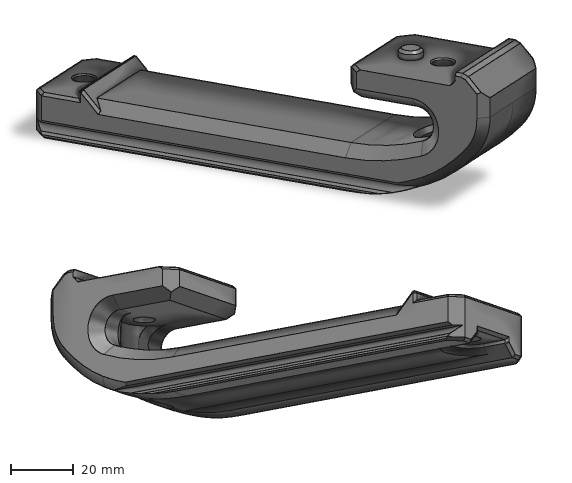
import cadquery as cq
import math

width = 38.0
length = 163.5
height = 46.5
half_width = width / 2

inner_chamfer = 4.0
outer_chamfer = 3.1
corner_chamfer = 4.0
edge_break = 1.0
hole_break = 0.5

bar_top = 15.2
bend_start = 113.1
outer_bend_radius = 68.3
outer_bend_angle = math.radians(25.2)
nose_middle = (155.8, 16.2)
nose_end_z = 32.4
throat_radius = 5.9
throat_x = 136.8

arm_bottom = 31.4
arm_top = 41.9
arm_lip_x = 152.5
arm_lip_flat = 2.3
arm_lip_facet = (2.0, 0.8)
lip_root_bevel = 2.0

landing_lip_x = 16.8
landing_lip_top = 18.5
landing_lip_flat = 1.6

groove_top = 4.9
groove_depth = 3.3
foot_edge_break = 0.5
foot_tip_low = 1.1

landing_slope_x = landing_lip_x + landing_lip_flat
landing_floor = groove_top + edge_break

channel_half_width = 11.5
channel_depth = 2.0
head_diameter = 15.0
head_slot_depth = 5.0
head_bevel = 2.0

screw_diameter = 7.0
landing_hole_x = 9.3
arm_hole_x = 138.3
pin_diameter = 8.0
pin_height = 3.0
pin_x = 126.7

overshoot = 1.6


def across(sketch):
    """Extrude an XZ outline over the full width, centred on Y."""
    return sketch.extrude(half_width, both=True)


def hook_outline():
    """J-shaped side outline of bar, hook and arm, without the free-end details."""
    throat_z = arm_bottom - throat_radius
    run = throat_x - bend_start
    rise = throat_z - bar_top
    inner_radius = (run**2 + rise**2 - throat_radius**2) / (2 * (rise - throat_radius))
    meet = math.atan2(run, inner_radius - rise)

    def on_circle(x, z, radius, angle):
        """Point on a circle, with the angle counted from straight down toward +X."""
        return (x + radius * math.sin(angle), z - radius * math.cos(angle))

    outer_centre = (bend_start, outer_bend_radius)
    inner_centre = (bend_start, bar_top + inner_radius)
    throat_centre = (throat_x, throat_z)
    slope_corner = arm_lip_x + arm_lip_flat
    slope_start = (slope_corner + arm_lip_facet[0], height - arm_lip_facet[1])
    return (
        cq.Workplane("XZ")
        .moveTo(0, 0)
        .lineTo(bend_start, 0)
        .threePointArc(
            on_circle(*outer_centre, outer_bend_radius, outer_bend_angle / 2),
            on_circle(*outer_centre, outer_bend_radius, outer_bend_angle),
        )
        .spline(
            [nose_middle, (length, nose_end_z)],
            tangents=[(math.cos(outer_bend_angle), math.sin(outer_bend_angle)), (0, 1)],
            includeCurrent=True,
        )
        .lineTo(length, slope_start[1] - (length - slope_start[0]))
        .lineTo(*slope_start)
        .lineTo(slope_corner, height)
        .lineTo(arm_lip_x, height)
        .lineTo(arm_lip_x, arm_top + lip_root_bevel)
        .lineTo(arm_lip_x - lip_root_bevel, arm_top)
        .lineTo(bend_start, arm_top)
        .lineTo(bend_start, arm_bottom)
        .lineTo(throat_x, arm_bottom)
        .threePointArc(
            on_circle(*throat_centre, throat_radius, (math.pi + meet) / 2),
            on_circle(*throat_centre, throat_radius, meet),
        )
        .threePointArc(
            on_circle(*inner_centre, inner_radius, meet / 2),
            (bend_start, bar_top),
        )
        .lineTo(landing_slope_x, bar_top)
        .lineTo(landing_slope_x, landing_floor)
        .lineTo(0, landing_floor)
        .close()
    )


def chamfer_sides(body, size, *regions):
    """Chamfer the side-face edges centred in XZ regions given as (x0, z0, x1, z1)."""
    edges = []
    for x0, z0, x1, z1 in regions:
        region = cq.selectors.BoxSelector((x0, -width, z0), (x1, width, z1))
        edges += body.faces("<Y or >Y").edges(region).vals()
    return body.newObject(edges).chamfer(size)


def cornered_envelope(start_x, low_z, high_z):
    """Block from start_x onward with chamfered upright corners at its free end."""
    reach = length + overshoot - start_x
    block = cq.Workplane("XY").box(reach, width, high_z - low_z, centered=False)
    block = block.translate((start_x, -half_width, low_z))
    return block.edges("|Z and <X").chamfer(corner_chamfer)


def end_edges(block, face, start_x):
    """Edges of one block face that run around the free end at start_x."""
    near_end = cq.selectors.BoxSelector(
        (start_x - overshoot, -width, -height),
        (start_x + corner_chamfer, width, 2 * height),
    )
    return block.faces(face).edges(near_end)


def along_bar(points):
    """Prism along X with the given YZ section, mirrored to both sides."""
    half = cq.Workplane("YZ").polyline(points).close().extrude(length + overshoot)
    return half.union(half.mirror("XZ"))


def make_hook():
    """Hooked bar with its foot, side grooves and cornered free ends."""
    plain = across(hook_outline())
    past_end = length + overshoot
    past_throat = throat_x + 2 * throat_radius
    inner_face = (landing_slope_x + overshoot, bar_top - overshoot, past_throat, arm_bottom + overshoot)
    bar_underside = (landing_slope_x, -overshoot, past_throat, groove_top)
    nose = (past_throat, groove_top, past_end, arm_top - inner_chamfer)
    lip_back = (arm_lip_x + edge_break, arm_top - overshoot, past_end, height + overshoot)
    body = chamfer_sides(plain, inner_chamfer, inner_face)
    body = chamfer_sides(body, outer_chamfer, bar_underside, nose)
    body = chamfer_sides(body, edge_break, lip_back)

    above_groove = along_bar([
        (0, groove_top),
        (half_width - edge_break, groove_top),
        (half_width, groove_top + edge_break),
        (half_width, height),
        (0, height),
    ])
    foot = along_bar([
        (0, 0),
        (half_width - foot_edge_break, 0),
        (half_width, foot_edge_break),
        (half_width, foot_tip_low),
        (half_width - foot_edge_break, groove_top - groove_depth + foot_edge_break),
        (half_width - groove_depth, groove_top),
        (0, groove_top),
    ])
    body = body.intersect(above_groove).union(plain.intersect(foot))

    bar_end = cornered_envelope(0, 0, height)
    body = body.intersect(end_edges(bar_end, "<Z", 0).chamfer(edge_break))

    arm_end = cornered_envelope(bend_start, arm_bottom, arm_top)
    arm_end = end_edges(arm_end, ">Z", bend_start).chamfer(edge_break)
    arm_end = arm_end.edges("|Y and <X and <Z").chamfer(inner_chamfer)
    square_end = cq.Workplane("XY").box(2 * corner_chamfer, width, arm_top - arm_bottom)
    square_end = square_end.translate((bend_start + corner_chamfer, 0, (arm_bottom + arm_top) / 2))
    return body.cut(square_end.cut(arm_end))


def make_landing():
    """Landing at the free end of the bar with its sloped lip."""
    slab = cornered_envelope(0, landing_floor, bar_top)
    slab = slab.faces(">Z").edges().chamfer(edge_break)
    slab = slab.intersect(cq.Workplane("XY").box(2 * landing_slope_x, width, 2 * height))

    slope_run = landing_lip_top - landing_floor
    lip = across(
        cq.Workplane("XZ")
        .moveTo(landing_lip_x, landing_floor)
        .lineTo(landing_lip_x, landing_lip_top)
        .lineTo(landing_slope_x, landing_lip_top)
        .lineTo(landing_slope_x + slope_run, landing_floor)
        .close()
    )
    front_edges = lip.faces("<X").edges("|Z or >Z").vals()
    side_edges = lip.faces("<Y or >Y").edges("not |Z").edges("not <Z").vals()
    lip = lip.newObject(front_edges + side_edges).chamfer(edge_break)
    return slab.union(lip)


def make_underside_cutters():
    """Shallow channel, screw head slot and the bevel of both at the free end."""
    head_radius = head_diameter / 2
    slot_start = -head_diameter
    floor_half_width = channel_half_width - channel_depth
    channel = along_bar([
        (0, -overshoot),
        (channel_half_width + overshoot, -overshoot),
        (floor_half_width, channel_depth),
        (0, channel_depth),
    ])

    def slot(radius, low_z):
        """Flat slot outline open at the free end and rounded at the landing hole."""
        return (
            cq.Workplane("XY", origin=(0, 0, low_z))
            .moveTo(slot_start, radius)
            .lineTo(landing_hole_x, radius)
            .threePointArc((landing_hole_x + radius, 0), (landing_hole_x, -radius))
            .lineTo(slot_start, -radius)
            .close()
        )

    head_slot = slot(head_radius, 0).extrude(head_slot_depth)
    bevel = slot(head_radius + head_bevel, channel_depth).extrude(head_bevel, taper=45)

    bevel_top = channel_depth + head_bevel
    mouth = [
        (channel_half_width + 2 * overshoot, -2 * overshoot),
        (head_radius, bevel_top),
        (head_radius, head_slot_depth),
    ]
    mirrored = [(-y, z) for y, z in reversed(mouth)]
    end_bevel = (
        cq.Workplane("YZ")
        .polyline(mouth + mirrored)
        .close()
        .offset2D(edge_break, "intersection")
        .extrude(edge_break, taper=45)
    )
    return channel.union(head_slot).union(bevel).union(end_bevel)


def make_screw_hole(x, low_z, high_z):
    """Cutter for a screw hole with a broken rim at its upper end."""
    radius = screw_diameter / 2
    hole = cq.Workplane("XY", origin=(x, 0, low_z)).circle(radius).extrude(high_z - low_z)
    rim = cq.Workplane("XY", origin=(x, 0, high_z)).circle(radius + hole_break)
    return hole.union(rim.extrude(-hole_break, taper=45))


def make_pin():
    pin = cq.Workplane("XY", origin=(pin_x, 0, arm_top - overshoot))
    pin = pin.circle(pin_diameter / 2).extrude(pin_height + overshoot)
    return pin.faces(">Z").chamfer(edge_break)


def cut_access_hole(body):
    """Bevelled hole through the bend, for reaching the screw in the arm."""
    access = cq.Workplane("XY", origin=(arm_hole_x, 0, -overshoot))
    access = access.circle(head_diameter / 2).extrude(arm_bottom + overshoot)
    body = body.cut(access)
    reach = head_diameter / 2 + edge_break
    rim_region = cq.selectors.BoxSelector(
        (arm_hole_x - reach, -reach, 0),
        (arm_hole_x + reach, reach, arm_bottom - edge_break),
    )
    return body.edges("%BSPLINE").edges(rim_region).chamfer(head_bevel)


hook = cut_access_hole(make_hook())
result = hook.union(make_landing()).cut(make_underside_cutters())
result = result.cut(make_screw_hole(landing_hole_x, 0, bar_top))
result = result.cut(make_screw_hole(arm_hole_x, arm_bottom - overshoot, arm_top)).union(make_pin())